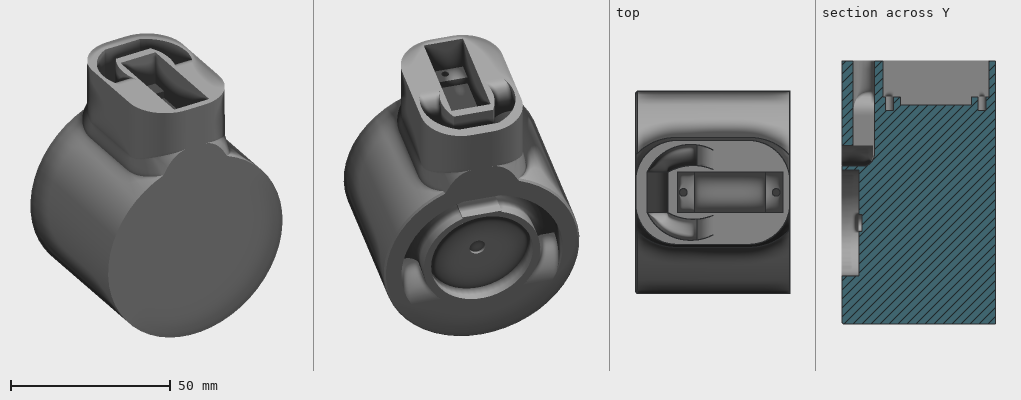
import cadquery as cq
import math

length = 48.3
barrel_diameter = 63.5
height = 82.55
barrel_radius = barrel_diameter / 2
top_z = height - barrel_radius
face_chamfer = 0.6

neck_half_width = 16.3
neck_corner = 12.9
flare_bottom_z = 24.8
flare_top_z = 36.65
flare_slope = 0.2
flare_reference_z = 31.45
flare_bottom_corner = 23.1
flare_top_corner = neck_corner
flare_tip_half_width = 0.4

recess_diameter = 33
recess_depth = 5.4
center_hole_diameter = 5.1
center_hole_depth = 1.0

channel_depth = 9.9
channel_ramp_radius = 10.5
channel_outer_radius = 26.2
channel_outer_z = -1.3
channel_inner_radius = 18.9
channel_inner_z = -0.5
channel_end_z = -13.9
channel_fillet = 3.6
passage_fillet = 3.5
passage_half_width = 6.35
passage_depth = 10.15
passage_floor_z = 17.8
channel_roof_z = 24.2

passage_front_x = 3.6
groove_outer_radius = 15.0
groove_center_x = 17.25
groove_end_x = 24.3
groove_inner_peak_x = 18.2
groove_inner_peak_y = 8.4
groove_inner_end_y = 7.2
groove_ramp_radius = 5.1
groove_depth = 9.5
groove_side_radius = 7.8

socket_start_x = 13.05
socket_end_x = 46.1
socket_depth = 11.4
ledge_length = 5.45
well_depth = 2.5
contact_diameter = 2.4
contact_depth = 4.1
contact_positions = (14.95, 44.0)


def box(x_min, x_max, half_width, z_min, z_max):
    """Box centred on y = 0."""
    size = (x_max - x_min, 2 * half_width, z_max - z_min)
    return cq.Workplane("XY").box(*size, centered=(False, True, False)).translate((x_min, 0, z_min))


def face_bore(diameter, start_x, depth):
    """Cylinder along the barrel axis."""
    return cq.Workplane("YZ", origin=(start_x, 0, 0)).circle(diameter / 2).extrude(depth)


def arc_height(radius, offset):
    return math.sqrt(radius**2 - offset**2)


def flare_section(z, corner):
    """Wide section with flat sides and large corner arcs that run past the barrel ends."""
    half_width = neck_half_width + (flare_reference_z - z) * flare_slope
    center_y = half_width - corner
    tip_y = max(center_y, flare_tip_half_width)
    reach = arc_height(corner, tip_y - center_y)
    middle_reach = reach / 2
    middle_y = center_y + arc_height(corner, middle_reach)
    left = neck_corner
    right = length - neck_corner
    return (
        cq.Workplane("XY", origin=(0, 0, z))
        .moveTo(left, half_width)
        .lineTo(right, half_width)
        .threePointArc((right + middle_reach, middle_y), (right + reach, tip_y))
        .lineTo(right + reach, -tip_y)
        .threePointArc((right + middle_reach, -middle_y), (right, -half_width))
        .lineTo(left, -half_width)
        .threePointArc((left - middle_reach, -middle_y), (left - reach, -tip_y))
        .lineTo(left - reach, tip_y)
        .threePointArc((left - middle_reach, middle_y), (left, half_width))
        .close()
        .wires()
        .val()
    )


def make_body():
    barrel = face_bore(barrel_diameter, 0, length).faces("<X").chamfer(face_chamfer)
    neck = box(0, length, neck_half_width, 0, top_z).edges("|Z").fillet(neck_corner)
    bottom = flare_section(flare_bottom_z, flare_bottom_corner)
    top = flare_section(flare_top_z, flare_top_corner)
    flare = cq.Workplane(obj=cq.Solid.makeLoft([bottom, top], True))
    flare = flare.intersect(box(0, length, barrel_radius, 0, top_z))
    return barrel.union(neck).union(flare)


def inner_floor_round():
    """Ring of material left in the channel corner, concave towards the open face."""
    inner = channel_inner_radius
    outer = inner + channel_fillet
    front = channel_depth - channel_fillet
    diagonal = channel_fillet * math.sqrt(0.5)
    return (
        cq.Workplane("XY")
        .moveTo(front, inner)
        .threePointArc((front + diagonal, outer - diagonal), (channel_depth, outer))
        .lineTo(channel_depth, inner)
        .close()
        .revolve(360, (0, 0, 0), (1, 0, 0))
        .translate((0, 0, channel_inner_z))
    )


def face_channel():
    """Horseshoe with a rounded inner floor edge and ends that roll out to the face."""
    ramp_top_z = channel_end_z + channel_ramp_radius
    outer = face_bore(2 * channel_outer_radius, 0, channel_depth).translate((0, 0, channel_outer_z))
    outer = outer.intersect(box(0, channel_depth, barrel_radius, channel_end_z, channel_roof_z))
    island = face_bore(2 * channel_inner_radius, 0, channel_depth).translate((0, 0, channel_inner_z))
    island = island.intersect(box(0, channel_depth, barrel_radius, -barrel_radius, passage_floor_z))
    ring = outer.cut(island)

    upper_range = box(0, channel_depth, barrel_radius, ramp_top_z, barrel_radius)
    middle = box(0, channel_depth, passage_half_width, 0, barrel_radius)
    upper = ring.intersect(upper_range).cut(middle).cut(inner_floor_round())
    lower = ring.intersect(box(0, channel_depth, barrel_radius, channel_end_z, ramp_top_z))
    ramp = (
        cq.Workplane("XZ", origin=(channel_ramp_radius, 0, channel_end_z))
        .circle(channel_ramp_radius)
        .extrude(barrel_radius, both=True)
    )
    bridge = box(0, passage_depth, passage_half_width, passage_floor_z, channel_roof_z)
    bridge = bridge.faces("<Z").edges(">X").fillet(passage_fillet)
    return upper.union(lower.cut(ramp)).union(bridge)


def passage():
    """Upright slot from the neck top to the channel floor, with a rounded elbow."""
    slot = box(passage_front_x, passage_depth, passage_half_width, passage_floor_z, top_z)
    return slot.faces("<Z").edges(">X").fillet(passage_fillet)


def top_groove_arm():
    """Arm on the +Y side: its end and its floor both roll over convex quarter rounds."""
    side_center_y = passage_half_width + groove_side_radius
    floor_z = top_z - groove_depth
    bottom_z = floor_z - groove_side_radius
    start_x = groove_center_x - arc_height(groove_outer_radius, passage_half_width)
    end_y = arc_height(groove_outer_radius, groove_end_x - groove_center_x)
    arm = (
        cq.Workplane("XY", origin=(0, 0, bottom_z))
        .moveTo(start_x, passage_half_width)
        .threePointArc((groove_center_x, groove_outer_radius), (groove_end_x, end_y))
        .lineTo(groove_end_x, groove_inner_end_y)
        .threePointArc((groove_inner_peak_x, groove_inner_peak_y), (passage_depth, passage_half_width))
        .close()
        .extrude(top_z - bottom_z)
    )
    floor_round = (
        cq.Workplane("YZ", origin=(0, side_center_y, bottom_z))
        .circle(groove_side_radius)
        .extrude(length)
    )
    outer_floor = box(0, length, barrel_radius, bottom_z, floor_z).intersect(
        cq.Workplane("XY").box(length, barrel_radius, height, centered=False).translate((0, side_center_y, 0))
    )
    ramp_z = top_z - groove_ramp_radius
    end_round = (
        cq.Workplane("XZ", origin=(groove_end_x, 0, ramp_z))
        .circle(groove_ramp_radius)
        .extrude(-barrel_radius)
    )
    end_wall = box(groove_end_x - groove_ramp_radius, length, barrel_radius, bottom_z, ramp_z)
    return arm.cut(floor_round).cut(outer_floor).cut(end_round).cut(end_wall)


def socket():
    """Rectangular socket with a deeper middle and a contact hole in each ledge."""
    ledge_z = top_z - socket_depth
    cavity = box(socket_start_x, socket_end_x, passage_half_width, ledge_z, top_z)
    well = box(
        socket_start_x + ledge_length,
        socket_end_x - ledge_length,
        passage_half_width,
        ledge_z - well_depth,
        ledge_z,
    )
    contacts = (
        cq.Workplane("XY", origin=(0, 0, ledge_z))
        .pushPoints([(x, 0) for x in contact_positions])
        .circle(contact_diameter / 2)
        .extrude(-contact_depth)
    )
    return cavity.union(well).union(contacts)


arm = top_groove_arm()
result = (
    make_body()
    .cut(face_bore(recess_diameter, 0, recess_depth))
    .cut(face_bore(center_hole_diameter, recess_depth, center_hole_depth))
    .cut(face_channel())
    .cut(passage())
    .cut(arm)
    .cut(arm.mirror("XZ"))
    .cut(socket())
)